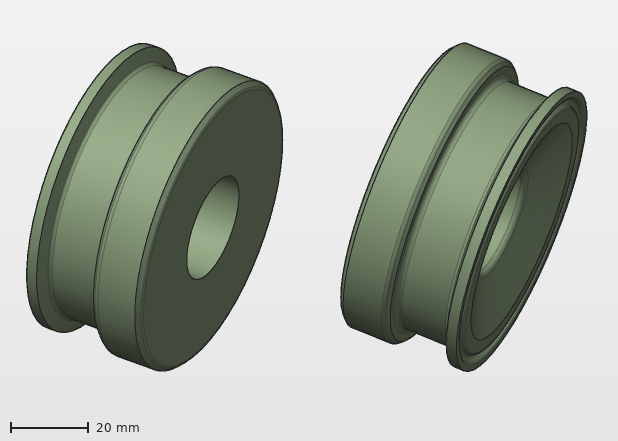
import cadquery as cq
import math

length = 33.4
body_radius = 78.75 / 2
neck_radius = 68.8 / 2
bore_radius = 28.1 / 2

flange_radius = 77.4 / 2
flange_rim_width = 2.9
flange_back_angle = 20.0
flange_root_radius = 1.0

body_start = 19.1
body_root_radius = 1.5
shoulder_chamfer = 1.3
shoulder_edge_radius = 1.5
end_chamfer = 1.5
end_edge_radius = 1.0

groove_radius = 1.1
groove_centre_radius = 35.4
groove_depth = 1.6
groove_wall_angle = 20.0
groove_edge_radius = 0.55

funnel_mouth_radius = 30.0
funnel_angle = 20.0
throat_round_radius = 1.7

tolerance = 0.01


def ring(profile):
    """Turn a closed outline (X along the axis, Y as the radius) about the X axis."""
    return profile.close().revolve(360, (0, 0, 0), (1, 0, 0))


def edges_within(x, radius):
    """Select the edges at one X that stay within a radius of the axis."""
    low = (x - tolerance, -radius, -radius)
    high = (x + tolerance, radius, radius)
    return cq.selectors.BoxSelector(low, high, boundingbox=True)


def circle_at(x, radius):
    """Select the one circular edge about the X axis at this X and radius."""
    return edges_within(x, radius + tolerance) - edges_within(x, radius - tolerance)


def make_blank():
    """Flange, neck and body as one solid disc, with its roots and body edges rounded."""
    flange_back_run = (flange_radius - neck_radius) * math.tan(math.radians(flange_back_angle))
    neck_start = flange_rim_width + flange_back_run
    shoulder_end = body_start + shoulder_chamfer
    chamfer_start = length - end_chamfer
    end_radius = body_radius - end_chamfer
    blank = ring(
        cq.Workplane("XY")
        .lineTo(0, flange_radius)
        .lineTo(flange_rim_width, flange_radius)
        .lineTo(neck_start, neck_radius)
        .lineTo(body_start, neck_radius)
        .lineTo(body_start, body_radius - shoulder_chamfer)
        .lineTo(shoulder_end, body_radius)
        .lineTo(chamfer_start, body_radius)
        .lineTo(length, end_radius)
        .lineTo(length, 0)
    )
    blank = blank.edges(circle_at(neck_start, neck_radius)).fillet(flange_root_radius)
    blank = blank.edges(circle_at(body_start, neck_radius)).fillet(body_root_radius)
    blank = blank.edges(circle_at(shoulder_end, body_radius)).fillet(shoulder_edge_radius)
    return blank.edges(circle_at(length, end_radius)).fillet(end_edge_radius)


def cut_bore(part):
    """Funnel and bore, with the throat between them rounded."""
    funnel_depth = (funnel_mouth_radius - bore_radius) * math.tan(math.radians(funnel_angle))
    bore = ring(
        cq.Workplane("XY")
        .lineTo(0, funnel_mouth_radius)
        .lineTo(funnel_depth, bore_radius)
        .lineTo(length, bore_radius)
        .lineTo(length, 0)
    )
    return part.cut(bore).edges(circle_at(funnel_depth, bore_radius)).fillet(throat_round_radius)


def cut_gasket_groove(part):
    """Round-bottomed groove with sloping walls and rounded rims."""
    angle = math.radians(groove_wall_angle)
    tangent_x = groove_depth - groove_radius * (1 - math.sin(angle))
    tangent_offset = groove_radius * math.cos(angle)
    mouth_offset = tangent_offset + tangent_x * math.tan(angle)
    outer_rim = groove_centre_radius + mouth_offset
    inner_rim = groove_centre_radius - mouth_offset
    groove = ring(
        cq.Workplane("XY")
        .moveTo(0, outer_rim)
        .lineTo(tangent_x, groove_centre_radius + tangent_offset)
        .threePointArc(
            (groove_depth, groove_centre_radius),
            (tangent_x, groove_centre_radius - tangent_offset),
        )
        .lineTo(0, inner_rim)
    )
    part = part.cut(groove)
    return part.edges(circle_at(0, outer_rim) + circle_at(0, inner_rim)).fillet(groove_edge_radius)


result = cut_gasket_groove(cut_bore(make_blank()))